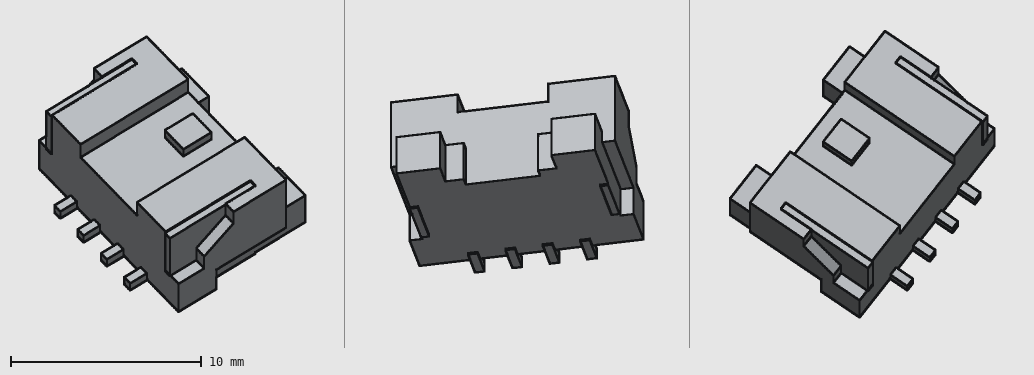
import cadquery as cq

HOUSING_WIDTH = 12.0
HOUSING_DEPTH = 7.1
HOUSING_HEIGHT = 5.7
FOOT_DROP = 0.1

CHANNEL_WIDTH = 4.85
CHANNEL_FLOOR = 4.6
BLOCK_WIDTH = 1.6
BLOCK_FRONT = 4.31
BLOCK_DEPTH = 1.85
BLOCK_HEIGHT = 0.6

SIDE_RECESS = 0.68
WINDOW_FLOOR = 2.4
SLOPE_FRONT = 1.69
SLOPE_BACK = 3.62
SLOPE_BOTTOM = 3.41
SLOPE_TOP = 4.72
NOTCH_FRONT = 2.5
NOTCH_HEIGHT = 1.65

PLATE_THICKNESS = 0.43
PLATE_BACK = 5.6
PLATE_PROUD = 0.05
PLATE_SETBACK = 0.08
TAB_DEPTH = 2.81

LUG_WIDTH = 2.34
LUG_LENGTH = 1.8
LUG_HEIGHT = 2.27
STEP_WIDTH = 0.98
STEP_LENGTH = 0.52

TAIL_COUNT = 4
TAIL_PITCH = 2.0
TAIL_WIDTH = 0.52
TAIL_THICKNESS = 0.6
TAIL_LENGTH = 1.09
TAIL_EMBED = 0.67

HALF_WIDTH = HOUSING_WIDTH / 2
WALL_X = HALF_WIDTH - SIDE_RECESS


def box(x_range, y_range, z_range):
    """Box between two limits on each axis."""
    sizes = [high - low for low, high in (x_range, y_range, z_range)]
    corner = (x_range[0], y_range[0], z_range[0])
    return cq.Workplane("XY").box(*sizes, centered=False).translate(corner)


def both_sides(body):
    """The +X feature together with its mirror image on the -X side."""
    return body.union(body.mirror("YZ"))


def side_window():
    """Cutter for the sloped opening in the upper front of the +X wall."""
    outline = [
        (0, WINDOW_FLOOR),
        (SLOPE_FRONT, WINDOW_FLOOR),
        (SLOPE_FRONT, SLOPE_BOTTOM),
        (SLOPE_BACK, SLOPE_TOP),
        (SLOPE_BACK, HOUSING_HEIGHT),
        (0, HOUSING_HEIGHT),
    ]
    window = cq.Workplane("YZ").polyline(outline).close().extrude(SIDE_RECESS)
    return window.translate((WALL_X, 0, 0))


def housing():
    """Block with the top channel, side windows, rear notches and plate slots removed."""
    body = box((-HALF_WIDTH, HALF_WIDTH), (0, HOUSING_DEPTH), (0, HOUSING_HEIGHT))
    channel = box(
        (-CHANNEL_WIDTH / 2, CHANNEL_WIDTH / 2),
        (0, HOUSING_DEPTH),
        (CHANNEL_FLOOR, HOUSING_HEIGHT),
    )
    notch = box((WALL_X, HALF_WIDTH), (NOTCH_FRONT, HOUSING_DEPTH), (0, NOTCH_HEIGHT))
    slot = box(
        (WALL_X - PLATE_THICKNESS, WALL_X),
        (0, PLATE_BACK),
        (HOUSING_HEIGHT - PLATE_SETBACK, HOUSING_HEIGHT),
    )
    body = body.cut(channel)
    for cutter in (side_window(), notch, slot):
        body = body.cut(both_sides(cutter))
    return body


def raised_block():
    """Rectangular block on the channel floor."""
    return box(
        (-BLOCK_WIDTH / 2, BLOCK_WIDTH / 2),
        (BLOCK_FRONT, BLOCK_FRONT + BLOCK_DEPTH),
        (CHANNEL_FLOOR, CHANNEL_FLOOR + BLOCK_HEIGHT),
    )


def side_plate():
    """+X plate: upper blade plus the tab that reaches below the underside."""
    thickness = (WALL_X - PLATE_THICKNESS, WALL_X)
    blade = box(
        thickness,
        (-PLATE_PROUD, PLATE_BACK),
        (WINDOW_FLOOR, HOUSING_HEIGHT - PLATE_SETBACK),
    )
    tab = box(thickness, (PLATE_BACK - TAB_DEPTH, PLATE_BACK), (-FOOT_DROP, WINDOW_FLOOR))
    return blade.union(tab)


def rear_lug():
    """+X lug with a shorter step on its inner side."""
    inner_x = WALL_X - LUG_WIDTH
    lug = box(
        (inner_x, WALL_X),
        (HOUSING_DEPTH, HOUSING_DEPTH + LUG_LENGTH),
        (0, LUG_HEIGHT),
    )
    step = box(
        (inner_x - STEP_WIDTH, inner_x),
        (HOUSING_DEPTH, HOUSING_DEPTH + STEP_LENGTH),
        (0, LUG_HEIGHT),
    )
    return lug.union(step)


def contact_tail(center_x):
    """Straight tail leaving the front face at the underside."""
    return box(
        (center_x - TAIL_WIDTH / 2, center_x + TAIL_WIDTH / 2),
        (-TAIL_LENGTH, TAIL_EMBED),
        (-FOOT_DROP, TAIL_THICKNESS - FOOT_DROP),
    )


result = housing().union(raised_block())
result = result.union(both_sides(side_plate()))
result = result.union(both_sides(rear_lug()))
for index in range(TAIL_COUNT):
    tail_x = (index - (TAIL_COUNT - 1) / 2) * TAIL_PITCH
    result = result.union(contact_tail(tail_x))